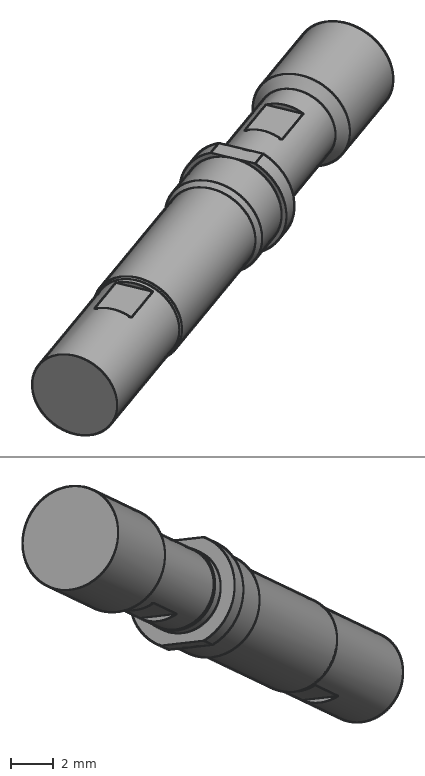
import cadquery as cq

LENGTH = 31.1

TIP_RADIUS = 4.4 / 2
SLEEVE_RADIUS = 4.57 / 2
SHOULDER_RADIUS = 5.0 / 2
COLLAR_RADIUS = 5.5 / 2
NECK_BASE_RADIUS = 4.05 / 2
NECK_RADIUS = 3.98 / 2
HEAD_RADIUS = SHOULDER_RADIUS

TIP_LENGTH = 7.15
TIP_CONE_LENGTH = 0.1
SLEEVE_LENGTH = 8.45
SHOULDER_CONE_LENGTH = 0.28
SHOULDER_LENGTH = 2.25
COLLAR_LENGTH = 0.93
NECK_BASE_LENGTH = 0.6
NECK_CONE_LENGTH = 0.1
HEAD_LENGTH = 5.0
HEAD_CONE_LENGTH = HEAD_RADIUS - NECK_RADIUS

SLEEVE_START = TIP_LENGTH + TIP_CONE_LENGTH
SLEEVE_END = SLEEVE_START + SLEEVE_LENGTH
SHOULDER_START = SLEEVE_END + SHOULDER_CONE_LENGTH
COLLAR_START = SHOULDER_START + SHOULDER_LENGTH
COLLAR_END = COLLAR_START + COLLAR_LENGTH
NECK_BASE_END = COLLAR_END + NECK_BASE_LENGTH
NECK_START = NECK_BASE_END + NECK_CONE_LENGTH
HEAD_START = LENGTH - HEAD_LENGTH
NECK_END = HEAD_START - HEAD_CONE_LENGTH

FLAT_LENGTH = 2.45
TIP_FLAT_START = 4.42
TIP_FLAT_HEIGHT = 3.95 / 2
NECK_FLAT_START = 21.7
NECK_FLAT_HEIGHT = 3.48 / 2
COLLAR_FLAT_HEIGHT = SHOULDER_RADIUS


def turned_body():
    """Revolve the stepped half profile about the Y axis."""
    profile = [
        (0, 0),
        (TIP_RADIUS, 0),
        (TIP_RADIUS, TIP_LENGTH),
        (SLEEVE_RADIUS, SLEEVE_START),
        (SLEEVE_RADIUS, SLEEVE_END),
        (SHOULDER_RADIUS, SHOULDER_START),
        (SHOULDER_RADIUS, COLLAR_START),
        (COLLAR_RADIUS, COLLAR_START),
        (COLLAR_RADIUS, COLLAR_END),
        (NECK_BASE_RADIUS, COLLAR_END),
        (NECK_BASE_RADIUS, NECK_BASE_END),
        (NECK_RADIUS, NECK_START),
        (NECK_RADIUS, NECK_END),
        (HEAD_RADIUS, HEAD_START),
        (HEAD_RADIUS, LENGTH),
        (0, LENGTH),
    ]
    return cq.Workplane("XY").polyline(profile).close().revolve(360, (0, 0, 0), (0, 1, 0))


def flat_cutters(start, length, height):
    """Two blocks that leave flats at Z = +height and Z = -height."""
    width = 2 * COLLAR_RADIUS
    depth = COLLAR_RADIUS
    blocks = cq.Workplane("XY")
    for side in (1, -1):
        center = (0, start + length / 2, side * (height + depth / 2))
        blocks = blocks.add(cq.Workplane("XY").box(width, length, depth).translate(center))
    return blocks.combine()


result = turned_body()
for start, length, height in (
    (TIP_FLAT_START, FLAT_LENGTH, TIP_FLAT_HEIGHT),
    (COLLAR_START, COLLAR_LENGTH, COLLAR_FLAT_HEIGHT),
    (NECK_FLAT_START, FLAT_LENGTH, NECK_FLAT_HEIGHT),
):
    result = result.cut(flat_cutters(start, length, height))